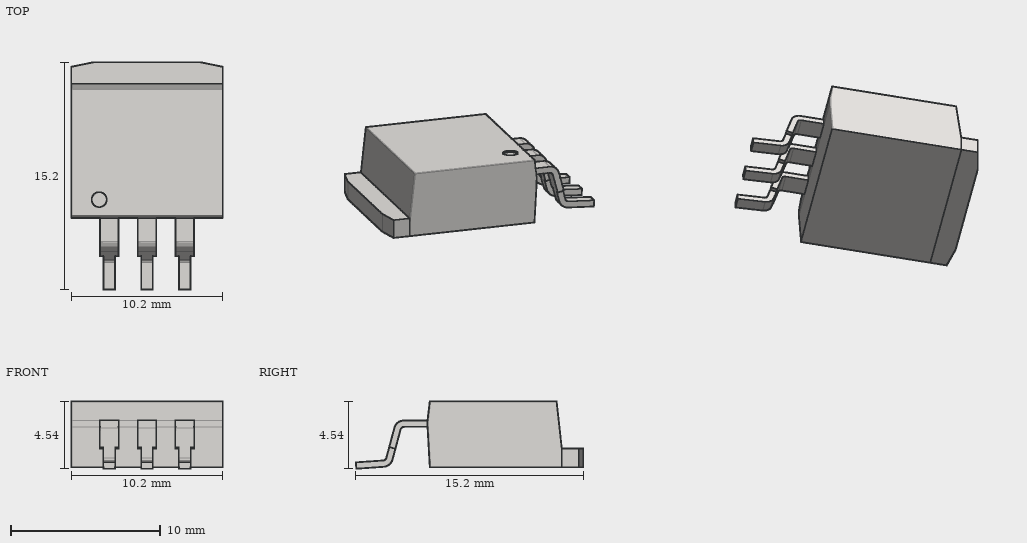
import cadquery as cq
import math

PACKAGE_WIDTH = 10.17
OVERALL_LENGTH = 15.24
OVERALL_HEIGHT = 4.54
FOOT_DROP = 0.1
BODY_HEIGHT = OVERALL_HEIGHT - FOOT_DROP

LEAD_THICKNESS = 0.44
PARTING_TOP_Z = 3.14
PARTING_BOTTOM_Z = PARTING_TOP_Z - LEAD_THICKNESS
FRONT_DRAFT_INSET = 0.15
BODY_BACK_Y = 9.0
BODY_TOP_BACK_Y = 8.65
EDGE_RADIUS = 0.05

DIMPLE_DIAMETER = 1.0
DIMPLE_DEPTH = 0.12
DIMPLE_X = -3.2
DIMPLE_Y = 1.23

TAB_END_Y = 10.44
TAB_THICKNESS = 1.26
TAB_CORNER_WIDTH = 1.5
TAB_CORNER_LENGTH = 0.3

LEAD_COUNT = 3
LEAD_PITCH = 2.53
LEAD_WIDTH = 1.26
FOOT_WIDTH = 0.8
SHOULDER_LENGTH = 1.57
INNER_BEND_RADIUS = 0.23
SHANK_ANGLE = 75.0
FOOT_ANGLE = 4.0
STEP_Z = 1.3
LEAD_TIP_Y = TAB_END_Y - OVERALL_LENGTH


def make_body():
    """Moulded body: tapered side profile, rounded edges and a round dimple on top."""
    profile = [
        (FRONT_DRAFT_INSET, 0),
        (0, PARTING_BOTTOM_Z),
        (0, PARTING_TOP_Z),
        (FRONT_DRAFT_INSET, BODY_HEIGHT),
        (BODY_TOP_BACK_Y, BODY_HEIGHT),
        (BODY_BACK_Y, TAB_THICKNESS),
        (BODY_BACK_Y, 0),
    ]
    block = (
        cq.Workplane("YZ")
        .polyline(profile)
        .close()
        .extrude(PACKAGE_WIDTH / 2, both=True)
    )
    sloped_edges = block.faces("|X").edges("not (|Y or |Z)")
    block = block.faces(">Z").edges().add(sloped_edges).fillet(EDGE_RADIUS)
    dimple = (
        cq.Workplane("XY", origin=(DIMPLE_X, DIMPLE_Y, BODY_HEIGHT))
        .circle(DIMPLE_DIAMETER / 2)
        .extrude(-DIMPLE_DEPTH)
    )
    return block.cut(dimple)


def make_tab():
    """Heat-sink tab behind the body, with both outer corners cut at a shallow angle."""
    half_width = PACKAGE_WIDTH / 2
    half_end = half_width - TAB_CORNER_WIDTH
    corner_y = TAB_END_Y - TAB_CORNER_LENGTH
    outline = [
        (-half_width, BODY_BACK_Y),
        (half_width, BODY_BACK_Y),
        (half_width, corner_y),
        (half_end, TAB_END_Y),
        (-half_end, TAB_END_Y),
        (-half_width, corner_y),
    ]
    return cq.Workplane("XY").polyline(outline).close().extrude(TAB_THICKNESS)


def make_lead(x):
    """Gull-wing lead: a bent strip of constant thickness that narrows part-way down its shank."""
    half_thickness = LEAD_THICKNESS / 2
    bend_radius = INNER_BEND_RADIUS + half_thickness
    shank = math.radians(SHANK_ANGLE)
    foot = math.radians(FOOT_ANGLE)

    start_z = PARTING_TOP_Z - half_thickness
    upper_bend_end = (
        -SHOULDER_LENGTH - bend_radius * math.sin(shank),
        start_z - bend_radius * (1 - math.cos(shank)),
    )
    tip = (
        LEAD_TIP_Y + half_thickness * math.sin(foot),
        half_thickness * math.cos(foot) - FOOT_DROP,
    )
    run = upper_bend_end[0] - tip[0]
    fall = upper_bend_end[1] - tip[1]
    shank_length = (fall - run * math.tan(foot)) / (math.sin(shank) - math.cos(shank) * math.tan(foot))
    corner = (
        upper_bend_end[0] - shank_length * math.cos(shank),
        upper_bend_end[1] - shank_length * math.sin(shank),
    )
    setback = bend_radius * math.tan((shank - foot) / 2)
    lower_bend_start = (
        corner[0] + setback * math.cos(shank),
        corner[1] + setback * math.sin(shank),
    )
    lower_bend_end = (
        corner[0] - setback * math.cos(foot),
        corner[1] - setback * math.sin(foot),
    )
    step = (
        upper_bend_end[0] - (upper_bend_end[1] - STEP_Z) / math.tan(shank),
        STEP_Z,
    )
    wide_path = (
        cq.Workplane("YZ", origin=(x, 0, 0))
        .moveTo(0, start_z)
        .lineTo(-SHOULDER_LENGTH, start_z)
        .tangentArcPoint(upper_bend_end, relative=False)
        .lineTo(*step)
    )
    narrow_path = (
        cq.Workplane("YZ", origin=(x, 0, 0))
        .moveTo(*step)
        .lineTo(*lower_bend_start)
        .tangentArcPoint(lower_bend_end, relative=False)
        .lineTo(*tip)
    )
    wide_part = (
        cq.Workplane("XZ", origin=(x, 0, start_z))
        .rect(LEAD_WIDTH, LEAD_THICKNESS)
        .sweep(wide_path)
    )
    step_plane = cq.Plane(
        origin=(x, *step),
        xDir=(1, 0, 0),
        normal=(0, -math.cos(shank), -math.sin(shank)),
    )
    narrow_part = (
        cq.Workplane(step_plane)
        .rect(FOOT_WIDTH, LEAD_THICKNESS)
        .sweep(narrow_path)
    )
    return wide_part.union(narrow_part)


body = make_body()
tab = make_tab()
leads = [make_lead((i - (LEAD_COUNT - 1) / 2) * LEAD_PITCH) for i in range(LEAD_COUNT)]

result = cq.Compound.makeCompound([body.val(), tab.val(), *[lead.val() for lead in leads]])